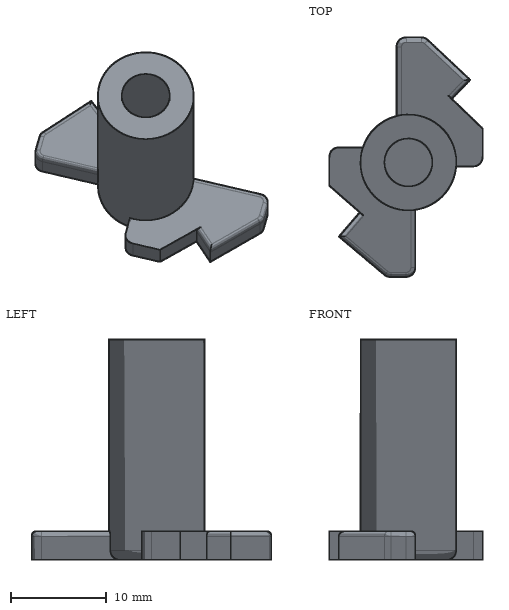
import cadquery as cq

total_height = 23.0
plate_thickness = 3.0

tube_diameter = 10.0
bore_diameter = 5.0
disc_bottom_fillet = 1.0

wing_corner_radius = 1.0
wing_top_fillet = 0.5

rear_inner_x = -1.25
rear_outer_x = 7.75
rear_root_y = -0.42
rear_end_y = 13.05
rear_shoulder_y = 3.52
rear_notch = (4.52, 6.62)
rear_tip = (6.45, 8.6)
rear_end_x = 1.72

front_inner_x = 0.72
front_outer_x = -8.25
front_root_y = 1.58
front_end_y = -11.95
front_shoulder_y = -2.42
front_notch = (-5.08, -5.2)
front_tip = (-7.25, -7.72)
front_end_x = -2.22


def vertical_edge_at(point):
    """Select the full-height plate edge standing at a plan point."""
    return cq.selectors.NearestToPointSelector((point[0], point[1], plate_thickness / 2))


def make_wing(inner_x, outer_x, root_y, end_y, shoulder_y, notch, tip, end_x):
    """Hooked plate with rounded corners and a rounded top rim from the notch to the inner side."""
    end_inner_corner = (inner_x, end_y)
    end_outer_corner = (end_x, end_y)
    root_corner = (outer_x, root_y)
    outline = [
        (inner_x, root_y),
        root_corner,
        (outer_x, shoulder_y),
        notch,
        tip,
        end_outer_corner,
        end_inner_corner,
    ]
    wing = cq.Workplane("XY").polyline(outline).close().extrude(plate_thickness)
    for corner in (root_corner, end_outer_corner, end_inner_corner):
        wing = wing.edges("|Z").edges(vertical_edge_at(corner)).fillet(wing_corner_radius)

    inner_side_middle = (inner_x, (root_y + end_y) / 2, plate_thickness)
    notch_side_middle = ((notch[0] + tip[0]) / 2, (notch[1] + tip[1]) / 2, plate_thickness)
    inner_side = cq.selectors.NearestToPointSelector(inner_side_middle)
    notch_side = cq.selectors.NearestToPointSelector(notch_side_middle)
    return wing.edges(inner_side + notch_side).fillet(wing_top_fillet)


def make_tube():
    """Tube with a blind bore and a rounded lower rim."""
    tube = cq.Workplane("XY").circle(tube_diameter / 2).extrude(total_height)
    tube = tube.faces("<Z").edges().fillet(disc_bottom_fillet)
    bore_depth = total_height - plate_thickness
    return tube.faces(">Z").workplane().hole(bore_diameter, bore_depth)


rear_wing = make_wing(
    rear_inner_x, rear_outer_x, rear_root_y, rear_end_y,
    rear_shoulder_y, rear_notch, rear_tip, rear_end_x,
)
front_wing = make_wing(
    front_inner_x, front_outer_x, front_root_y, front_end_y,
    front_shoulder_y, front_notch, front_tip, front_end_x,
)

result = make_tube().union(rear_wing).union(front_wing)